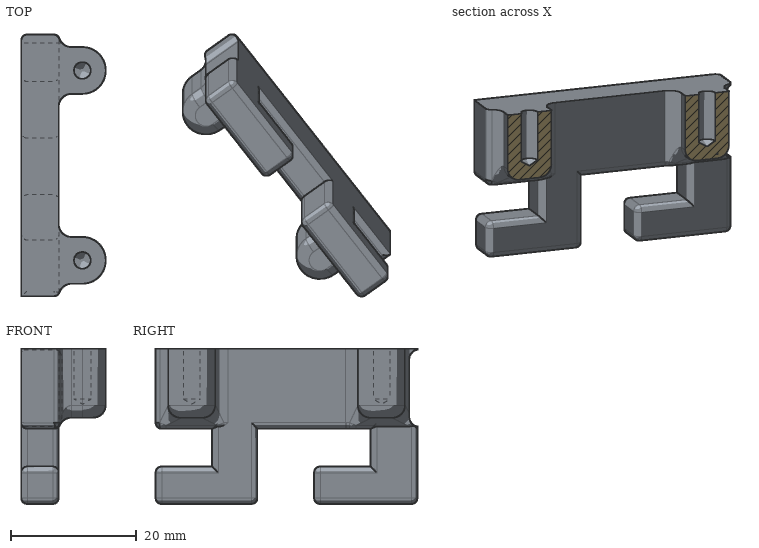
import cadquery as cq
import math

plate_thickness = 6.0
length = 41.75
height = 24.75
rail_height = 12.75
edge_radius = 1.0

end_leg_width = 7.5
middle_leg_width = 7.25
arm_reach = 9.0
arm_height = 6.0

lug_radius = 3.75
lug_height = 11.0
lug_center_x = 9.75
lug_blend_radius = 2.0
lug_bottom_radius = 2.0

hole_diameter = 2.67
hole_depth = 8.0
drill_point_height = 0.8

recess_top = 0.15
recess_bottom = 12.4
recess_depth = 1.3
recess_radius = 1.5

half_length = length / 2
lug_center_y = half_length - lug_blend_radius - lug_radius
lug_tip_x = lug_center_x + lug_radius
arm_top = -height + arm_height
middle_leg_outer_y = -half_length + arm_reach + middle_leg_width
hook_top = -rail_height + 2 * edge_radius

tolerance = 0.01
spare = 5.0


def inside_box(low, high):
    """Selector for edges lying wholly inside the box, with a small allowance."""
    return cq.selectors.BoxSelector(
        [value - tolerance for value in low],
        [value + tolerance for value in high],
        boundingbox=True,
    )


def hook(outer_y, leg_width):
    """L-shaped leg with its arm toward -Y, rounded on all outer edges and buried in the rail on top."""
    inner_y = outer_y - leg_width
    tip_y = inner_y - arm_reach
    leg = (
        cq.Workplane("YZ")
        .moveTo(outer_y, hook_top)
        .lineTo(outer_y, -height)
        .lineTo(tip_y, -height)
        .lineTo(tip_y, arm_top)
        .lineTo(inner_y, arm_top)
        .lineTo(inner_y, hook_top)
        .close()
        .extrude(plate_thickness)
    )
    inner_corner = inside_box((0, inner_y, arm_top), (plate_thickness, inner_y, arm_top))
    buried_edges = inside_box((0, inner_y, hook_top), (plate_thickness, outer_y, hook_top))
    outer_edges = cq.selectors.InverseSelector(inner_corner + buried_edges)
    return leg.edges(outer_edges).fillet(edge_radius)


def block(depth, block_length, block_height):
    """Block from the back face, centred along Y and hanging down from the top face."""
    return (
        cq.Workplane("XY")
        .box(depth, block_length, block_height, centered=(False, True, False))
        .translate((0, 0, -block_height))
    )


def add_lug(rail, y):
    """Join a lug whose sides and underside flare into the +X face and whose lower rim is rounded."""
    side_low = y - lug_radius
    side_high = y + lug_radius
    lug = (
        cq.Workplane("XY")
        .moveTo(0, side_low)
        .lineTo(lug_center_x, side_low)
        .threePointArc((lug_tip_x, y), (lug_center_x, side_high))
        .lineTo(0, side_high)
        .close()
        .extrude(-lug_height)
    )
    rail = rail.union(lug)
    root = inside_box(
        (plate_thickness, side_low, -lug_height),
        (plate_thickness, side_high, 0),
    )
    top_root = inside_box((plate_thickness, side_low, 0), (plate_thickness, side_high, 0))
    rail = rail.edges(root - top_root).fillet(lug_blend_radius)
    lower_rim = inside_box(
        (lug_center_x, side_low, -lug_height),
        (lug_tip_x, side_high, -lug_height),
    )
    return rail.edges(lower_rim).fillet(lug_bottom_radius)


def lugged_rail():
    """Rail with both lugs, its edges rounded except the top, the -Y back and the +Y front ones."""
    rail = block(plate_thickness, length + 2 * spare, rail_height + spare)
    for y in (-lug_center_y, lug_center_y):
        rail = add_lug(rail, y)
    envelope = block(lug_tip_x + spare, length, rail_height)
    rail = rail.intersect(envelope)

    flare_overlap = lug_height + lug_blend_radius - rail_height
    front_low = plate_thickness
    front_high = plate_thickness + flare_overlap
    bottom_edges = inside_box(
        (front_low, -half_length, -rail_height), (front_high, half_length, -rail_height)
    )
    rim = rail.edges(bottom_edges).vals()
    end_edge = inside_box((front_low, -half_length, -rail_height), (front_low, -half_length, 0))
    rim += rail.edges(end_edge).vals()
    rail = rail.newObject(rim).fillet(edge_radius)

    back_and_end_edges = "(<Z and (<X or <Y)) or (<X and >Y)"
    rounded_envelope = envelope.edges(back_and_end_edges).fillet(edge_radius)
    return rail.intersect(rounded_envelope)


def screw_hole(y):
    """Blind round hole with a conical bottom."""
    radius = hole_diameter / 2
    return (
        cq.Workplane("XZ")
        .lineTo(radius, 0)
        .lineTo(radius, -hole_depth)
        .lineTo(0, -hole_depth - drill_point_height)
        .close()
        .revolve(axisStart=(0, 0), axisEnd=(0, 1))
        .translate((lug_center_x, y, 0))
    )


def end_recess():
    """Round-cornered slot along X that bites into the +Y end."""
    slot_depth = 2 * spare
    slot_center_y = half_length - recess_depth + slot_depth / 2
    slot_center_z = -(recess_top + recess_bottom) / 2
    return (
        cq.Workplane("YZ")
        .center(slot_center_y, slot_center_z)
        .rect(slot_depth, recess_bottom - recess_top)
        .extrude(lug_tip_x)
        .edges("|X and <Y")
        .fillet(recess_radius)
    )


def recessed_end_corner():
    """Waste outside the arc that joins the +Y end to the nearby lug flare."""
    flare_center_x = plate_thickness + lug_blend_radius
    center_distance = edge_radius + lug_blend_radius
    arc_center_x = flare_center_x - math.sqrt(center_distance**2 - edge_radius**2)
    arc_center_y = half_length - edge_radius
    end_angle = math.asin(edge_radius / center_distance)
    middle_angle = (end_angle + math.pi / 2) / 2
    arc_end_x = arc_center_x + edge_radius * math.cos(end_angle)
    arc_end = (arc_end_x, arc_center_y + edge_radius * math.sin(end_angle))
    arc_middle = (
        arc_center_x + edge_radius * math.cos(middle_angle),
        arc_center_y + edge_radius * math.sin(middle_angle),
    )
    return (
        cq.Workplane("XY")
        .moveTo(arc_center_x, half_length)
        .threePointArc(arc_middle, arc_end)
        .lineTo(arc_end_x, half_length + spare)
        .lineTo(arc_center_x, half_length + spare)
        .close()
        .extrude(-rail_height)
    )


result = lugged_rail()
result = result.union(hook(half_length, end_leg_width))
result = result.union(hook(middle_leg_outer_y, middle_leg_width))
result = result.cut(end_recess())
result = result.cut(recessed_end_corner())
for hole_y in (-lug_center_y, lug_center_y):
    result = result.cut(screw_hole(hole_y))